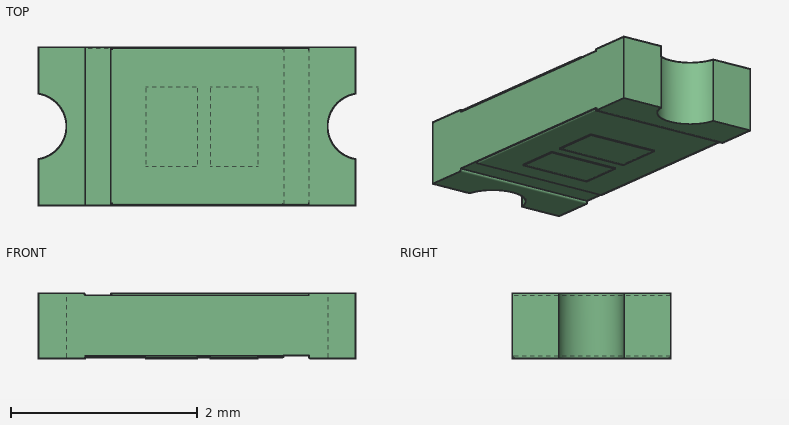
import cadquery as cq

length = 3.4
width = 1.7
height = 0.7

land_length = 0.5
land_thickness = 0.13
land_edge_radius = 0.017
notch_radius = 0.355
notch_center_offset = 0.055
plating_thickness = 0.12

top_setback = 0.02
bottom_setback = 0.03

coating_start = -0.925
mask_end = 0.928
mask_thickness = 0.02
layer_side_gap = 0.01
layer_edge_radius = 0.017

mark_spans = [(-0.55, 0.0), (0.143, 0.65)]
mark_width = 0.85

end_x = length / 2
land_inner_x = end_x - land_length
top_z = height / 2
bottom_z = -top_z
land_root_z = top_z - land_thickness
substrate_top = top_z - top_setback
substrate_bottom = bottom_z + bottom_setback
mask_bottom = substrate_bottom - mask_thickness
layer_width = width - 2 * layer_side_gap


def block(x_start, x_end, y_size, z_start, z_end):
    """Box centred on Y, given by its X and Z limits."""
    box = cq.Workplane("XY").box(
        x_end - x_start, y_size, z_end - z_start, centered=(False, True, False)
    )
    return box.translate((x_start, 0, z_start))


def notch_cylinder(radius):
    """Full-height cylinder on the axis of the +X notch."""
    notch_axis_x = end_x + notch_center_offset
    return cq.Workplane("XY", origin=(notch_axis_x, 0, bottom_z)).circle(radius).extrude(height)


def make_substrate():
    """Thin slab over the full length, thickened between the lands."""
    slab = block(-end_x, end_x, width, -land_root_z, land_root_z)
    middle = block(-land_inner_x, land_inner_x, width, substrate_bottom, substrate_top)
    return slab.union(middle)


def make_terminal():
    """+X terminal: two lands and the plating around the notch."""
    upper_land = block(land_inner_x, end_x, width, land_root_z, top_z)
    lower_land = block(land_inner_x, end_x, width, bottom_z, -land_root_z)
    lower_land = lower_land.faces("<Z").edges("<X").fillet(land_edge_radius)
    plating_limits = block(land_inner_x, end_x, width, -land_root_z, land_root_z)
    plating = notch_cylinder(notch_radius + plating_thickness).intersect(plating_limits)
    return upper_land.union(lower_land).union(plating)


def turn_end_for_end(shape):
    """Half turn about Y, which carries the +X terminal onto the -X one."""
    return shape.rotate((0, 0, 0), (0, 1, 0), 180)


def make_coating():
    """Top coating with rounded upper edges on its three free sides."""
    coating = block(coating_start, land_inner_x, layer_width, substrate_top, top_z)
    return coating.faces(">Z").edges("<X or <Y or >Y").fillet(layer_edge_radius)


def make_mask():
    """Bottom mask with rounded lower edges on its three free sides."""
    mask = block(-land_inner_x, mask_end, layer_width, mask_bottom, substrate_bottom)
    return mask.faces("<Z").edges(">X or <Y or >Y").fillet(layer_edge_radius)


terminal = make_terminal()
notch = notch_cylinder(notch_radius)

result = make_substrate()
result = result.union(make_coating(), clean=False)
result = result.union(make_mask(), clean=False)
for mark_start, mark_end in mark_spans:
    mark = block(mark_start, mark_end, mark_width, bottom_z, mask_bottom)
    result = result.union(mark, clean=False)
result = result.union(terminal, clean=False)
result = result.union(turn_end_for_end(terminal), clean=False)
result = result.cut(notch, clean=False)
result = result.cut(turn_end_for_end(notch), clean=False)